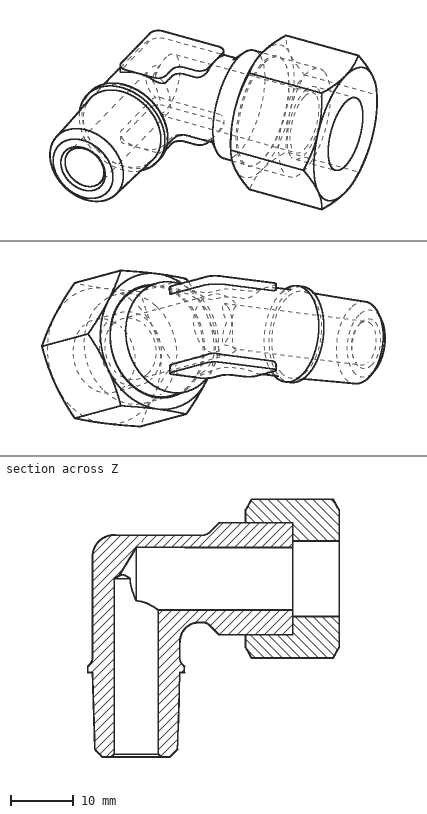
import cadquery as cq
import math


OVERALL_LENGTH = 41.2

NUT_ACROSS_FLATS = 22.0
NUT_CORNER_RADIUS = NUT_ACROSS_FLATS / math.sqrt(3)
NUT_START = 17.43
NUT_LENGTH = 15.0
NUT_END = NUT_START + NUT_LENGTH
NUT_CHAMFER_ANGLE = math.radians(30)
NUT_MOUTH_CHAMFER = 0.15
TUBE_HOLE_RADIUS = 6.0

TUBE_RADIUS = 7.0
OUTER_BEND_RADIUS = 3.5
INNER_BEND_RADIUS = 3.0
FLARE_RADIUS = 1.5
FLARE_ANGLE = math.radians(45)

COLLAR_RADIUS = 7.75
COLLAR_START = 14.0
COLLAR_END = 15.0
STUD_END = OVERALL_LENGTH - NUT_CORNER_RADIUS
STUD_TAPER = 1 / 32
STUD_CHAMFER = 1.25
STUD_BORE_RADIUS = 3.5
STUD_BORE_CHAMFER = 0.5

THREAD_RADIUS = 9.0
THREAD_START = 13.23
THREAD_END = 25.0
ARM_BORE_RADIUS = 5.0
DRILL_POINT_ANGLE = math.radians(118)

PAD_HALF_WIDTH = 4.05
PAD_REACH = 9.0
PAD_CORNER_RADIUS = 1.5


def revolve_profile(profile):
    """Revolve a closed (radius, distance) profile about its distance axis."""
    return profile.close().revolve(360, (0, 0, 0), (0, 1, 0))


def onto_stud_axis(shape):
    """Turn a shape built along +Y so that it runs along -Y."""
    return shape.rotate((0, 0, 0), (0, 0, 1), 180)


def onto_arm_axis(shape):
    """Turn a shape built along +Y so that it runs along +X."""
    return shape.rotate((0, 0, 0), (0, 0, 1), -90)


def flare(profile, cone_end_radius, cone_end):
    """Add a tube run, its concave blend and the 45 degree cone that ends it."""
    blend_rise = FLARE_RADIUS * (1 - math.cos(FLARE_ANGLE))
    blend_length = FLARE_RADIUS * math.sin(FLARE_ANGLE)
    half_rise = FLARE_RADIUS * (1 - math.cos(FLARE_ANGLE / 2))
    half_length = FLARE_RADIUS * math.sin(FLARE_ANGLE / 2)
    cone_start_radius = TUBE_RADIUS + blend_rise
    cone_start = cone_end - (cone_end_radius - cone_start_radius) / math.tan(FLARE_ANGLE)
    blend_start = cone_start - blend_length
    return (
        profile.lineTo(TUBE_RADIUS, blend_start)
        .threePointArc(
            (TUBE_RADIUS + half_rise, blend_start + half_length),
            (cone_start_radius, cone_start),
        )
        .lineTo(cone_end_radius, cone_end)
    )


def stud_arm():
    """Outer shape of the stud arm: tube, collar, tapered stud and end chamfer."""
    taper_end = STUD_END - STUD_CHAMFER
    taper_end_radius = TUBE_RADIUS - STUD_TAPER * (taper_end - COLLAR_END)
    profile = cq.Workplane("XY").moveTo(0, -TUBE_RADIUS).lineTo(TUBE_RADIUS, -TUBE_RADIUS)
    profile = (
        flare(profile, COLLAR_RADIUS, COLLAR_START)
        .lineTo(COLLAR_RADIUS, COLLAR_END)
        .lineTo(TUBE_RADIUS, COLLAR_END)
        .lineTo(taper_end_radius, taper_end)
        .lineTo(taper_end_radius - STUD_CHAMFER, STUD_END)
        .lineTo(0, STUD_END)
    )
    return onto_stud_axis(revolve_profile(profile))


def threaded_arm():
    """Outer shape of the nut arm: tube, flare and the cylinder that carries the nut."""
    profile = cq.Workplane("XY").moveTo(0, -TUBE_RADIUS).lineTo(TUBE_RADIUS, -TUBE_RADIUS)
    profile = (
        flare(profile, THREAD_RADIUS, THREAD_START)
        .lineTo(THREAD_RADIUS, THREAD_END)
        .lineTo(0, THREAD_END)
    )
    return onto_arm_axis(revolve_profile(profile))


def mitred_arms():
    """Both arms, each cut back to the 45 degree mitre plane through the origin."""
    reach = STUD_END + THREAD_END
    arm_side = (
        cq.Workplane("XY")
        .polyline([(-reach, reach), (reach, reach), (reach, -reach)])
        .close()
        .extrude(reach, both=True)
    )
    return stud_arm().cut(arm_side).union(threaded_arm().intersect(arm_side))


def pads():
    """L-shaped pads whose flat faces are level with the top and bottom of the tubes."""
    outline = [
        (-PAD_HALF_WIDTH, PAD_HALF_WIDTH),
        (PAD_REACH, PAD_HALF_WIDTH),
        (PAD_REACH, -PAD_HALF_WIDTH),
        (PAD_HALF_WIDTH, -PAD_HALF_WIDTH),
        (PAD_HALF_WIDTH, -PAD_REACH),
        (-PAD_HALF_WIDTH, -PAD_REACH),
    ]
    return (
        cq.Workplane("XY")
        .polyline(outline)
        .close()
        .extrude(TUBE_RADIUS, both=True)
        .edges("|Z")
        .fillet(PAD_CORNER_RADIUS)
    )


def round_mitre(body, side, radius):
    """Round the mitre edge on the outer (side = 1) or inner (side = -1) corner of the bend."""
    on_side = cq.selectors.BoxSelector(
        (0, 0, -TUBE_RADIUS),
        (-side * 2 * TUBE_RADIUS, side * 2 * TUBE_RADIUS, TUBE_RADIUS),
    )
    return body.edges("%ELLIPSE").edges(on_side).fillet(radius)


def drilled_bore(radius, depth, point_angle):
    """Bore from the far end to the origin, with a conical drill point beyond it."""
    point_length = radius / math.tan(point_angle / 2)
    profile = (
        cq.Workplane("XY")
        .moveTo(0, -point_length)
        .lineTo(radius, 0)
        .lineTo(radius, depth)
        .lineTo(0, depth)
    )
    return revolve_profile(profile)


def mouth_chamfer(bore_radius, size, end):
    """Cone that opens a bore by `size` at distance `end`."""
    profile = (
        cq.Workplane("XY")
        .moveTo(0, end - size)
        .lineTo(bore_radius, end - size)
        .lineTo(bore_radius + size, end)
        .lineTo(0, end)
    )
    return revolve_profile(profile)


def make_elbow():
    """Elbow body: mitred arms with pads, rounded bend and two bores that meet in it."""
    body = mitred_arms().union(pads())
    body = round_mitre(body, 1, OUTER_BEND_RADIUS)
    body = round_mitre(body, -1, INNER_BEND_RADIUS)
    stud_bore = drilled_bore(STUD_BORE_RADIUS, STUD_END, DRILL_POINT_ANGLE)
    stud_mouth = mouth_chamfer(STUD_BORE_RADIUS, STUD_BORE_CHAMFER, STUD_END)
    arm_bore = drilled_bore(ARM_BORE_RADIUS, THREAD_END, DRILL_POINT_ANGLE)
    return (
        body.cut(onto_stud_axis(stud_bore))
        .cut(onto_stud_axis(stud_mouth))
        .cut(onto_arm_axis(arm_bore))
    )


def nut_envelope():
    """Cylinder over the hexagon corners with a 30 degree cone at each end."""
    face_radius = NUT_ACROSS_FLATS / 2
    chamfer_length = (NUT_CORNER_RADIUS - face_radius) * math.tan(NUT_CHAMFER_ANGLE)
    profile = (
        cq.Workplane("XY")
        .moveTo(0, NUT_START)
        .lineTo(face_radius, NUT_START)
        .lineTo(NUT_CORNER_RADIUS, NUT_START + chamfer_length)
        .lineTo(NUT_CORNER_RADIUS, NUT_END - chamfer_length)
        .lineTo(face_radius, NUT_END)
        .lineTo(0, NUT_END)
    )
    return onto_arm_axis(revolve_profile(profile))


def nut_cavity():
    """Mouth chamfer, bore around the threaded arm and the narrower tube hole beyond it."""
    profile = (
        cq.Workplane("XY")
        .moveTo(0, NUT_START)
        .lineTo(THREAD_RADIUS + NUT_MOUTH_CHAMFER, NUT_START)
        .lineTo(THREAD_RADIUS, NUT_START + NUT_MOUTH_CHAMFER)
        .lineTo(THREAD_RADIUS, THREAD_END)
        .lineTo(TUBE_HOLE_RADIUS, THREAD_END)
        .lineTo(TUBE_HOLE_RADIUS, NUT_END)
        .lineTo(0, NUT_END)
    )
    return onto_arm_axis(revolve_profile(profile))


def make_nut():
    """Hexagon nut with corners towards +Y and -Y and flats on the top and bottom."""
    hexagon = (
        cq.Workplane("YZ")
        .workplane(offset=NUT_START)
        .polygon(6, 2 * NUT_CORNER_RADIUS)
        .extrude(NUT_LENGTH)
    )
    return hexagon.intersect(nut_envelope()).cut(nut_cavity())


elbow = make_elbow()
nut = make_nut()

result = cq.Compound.makeCompound([elbow.val(), nut.val()])